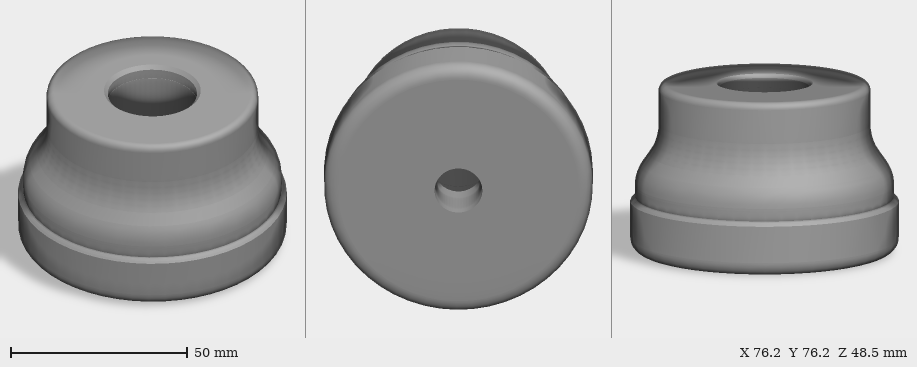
import cadquery as cq
import math

base_radius = 38.1
total_height = 48.55

base_fillet = 4.0
rim_start_height = 14.5
rim_steps = [(0.45, 0.5), (0.45, 0.45), (0.45, 0.3)]
base_height = rim_start_height + sum(rise for _, rise in rim_steps)
through_radius = 6.8
through_chamfer = 0.5

skirt_radius = 36.7
skirt_foot_radius = 36.65
taper_top = 18.7
shoulder_start = 19.35
neck_radius = 30.0
shoulder_arc_radius = 10.0
neck_arc_radius = 15.0
slope_angle = math.radians(35)
top_fillet = 2.0

bore_radius = 12.65
bore_chamfer = 1.1
land_radius = 12.6
land_top = total_height - 3.9
land_bottom = total_height - 16.0


def arc_point(center, radius, angle):
    """Point on a circle in the (radius, height) plane, angle in radians from outward."""
    return (center[0] + radius * math.cos(angle), center[1] + radius * math.sin(angle))


def make_base():
    """Round plate with a filleted lower edge, a bevelled rim and a chamfered centre hole."""
    fillet_center = (base_radius - base_fillet, base_fillet)
    profile = (
        cq.Workplane("XZ")
        .moveTo(through_radius, 0)
        .lineTo(base_radius - base_fillet, 0)
        .threePointArc(
            arc_point(fillet_center, base_fillet, -math.pi / 4),
            (base_radius, base_fillet),
        )
        .lineTo(base_radius, rim_start_height)
    )
    for inward, rise in rim_steps:
        profile = profile.line(-inward, rise)
    profile = (
        profile
        .lineTo(through_radius + through_chamfer, base_height)
        .lineTo(through_radius, base_height - through_chamfer)
        .close()
    )
    return profile.revolve(360, (0, 0, 0), (0, 1, 0))


def make_knob():
    """Bell-shaped knob standing on the base plate, with a chamfered bore right through it."""
    shoulder_center = (skirt_radius - shoulder_arc_radius, shoulder_start)
    shoulder_end = arc_point(shoulder_center, shoulder_arc_radius, slope_angle)
    neck_center_radius = neck_radius + neck_arc_radius
    flank_end_radius = neck_center_radius - neck_arc_radius * math.cos(slope_angle)
    flank_rise = (shoulder_end[0] - flank_end_radius) / math.tan(slope_angle)
    flank_end = (flank_end_radius, shoulder_end[1] + flank_rise)
    neck_start = flank_end[1] + neck_arc_radius * math.sin(slope_angle)
    neck_center = (neck_center_radius, neck_start)
    top_center = (neck_radius - top_fillet, total_height - top_fillet)

    return (
        cq.Workplane("XZ")
        .moveTo(bore_radius, base_height)
        .lineTo(skirt_foot_radius, base_height)
        .lineTo(skirt_radius, taper_top)
        .lineTo(skirt_radius, shoulder_start)
        .threePointArc(
            arc_point(shoulder_center, shoulder_arc_radius, slope_angle / 2),
            shoulder_end,
        )
        .lineTo(*flank_end)
        .threePointArc(
            arc_point(neck_center, neck_arc_radius, math.pi + slope_angle / 2),
            (neck_radius, neck_start),
        )
        .lineTo(neck_radius, total_height - top_fillet)
        .threePointArc(
            arc_point(top_center, top_fillet, math.pi / 4),
            (neck_radius - top_fillet, total_height),
        )
        .lineTo(bore_radius + bore_chamfer, total_height)
        .lineTo(bore_radius, total_height - bore_chamfer)
        .lineTo(bore_radius, land_top)
        .lineTo(land_radius, land_top)
        .lineTo(land_radius, land_bottom)
        .lineTo(bore_radius, land_bottom)
        .close()
        .revolve(360, (0, 0, 0), (0, 1, 0))
    )


base = make_base()
knob = make_knob()

result = cq.Compound.makeCompound([base.val(), knob.val()])